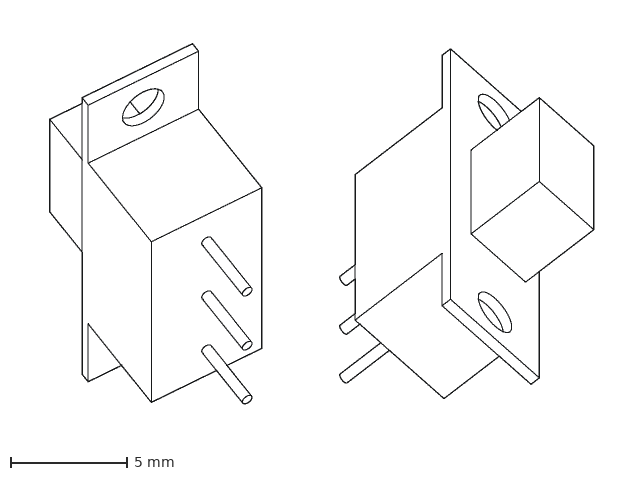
import cadquery as cq


plate_thickness = 0.5
plate_width = 5.6
plate_height = 19.0
hole_diameter = 2.1
hole_spacing = 15.0

slider_length = 4.0
slider_width = 3.44
slider_height = 6.36
slider_offset_y = -0.2
slider_offset_z = 0.02

body_length = 5.11
body_width = plate_width
body_height = 11.04

pin_diameter = 0.5
pin_length = 3.29
pin_pitch = 3.7

body_back_x = plate_thickness + body_length


def block(start_x, length, width, height):
    """Box running along +X from start_x, centred in Y and Z."""
    box = cq.Workplane("XY").box(length, width, height, centered=(False, True, True))
    return box.translate((start_x, 0, 0))


def mounting_plate():
    plate = block(0, plate_thickness, plate_width, plate_height)
    hole_centres = [(0, -hole_spacing / 2), (0, hole_spacing / 2)]
    holes = (
        cq.Workplane("YZ")
        .pushPoints(hole_centres)
        .circle(hole_diameter / 2)
        .extrude(plate_thickness)
    )
    return plate.cut(holes)


def slider():
    knob = block(-slider_length, slider_length, slider_width, slider_height)
    return knob.translate((0, slider_offset_y, slider_offset_z))


def pins():
    pin_centres = [(0, row * pin_pitch) for row in (-1, 0, 1)]
    return (
        cq.Workplane("YZ", origin=(body_back_x, 0, 0))
        .pushPoints(pin_centres)
        .circle(pin_diameter / 2)
        .extrude(pin_length)
    )


body = block(plate_thickness, body_length, body_width, body_height)
result = mounting_plate().union(body).union(slider()).union(pins())